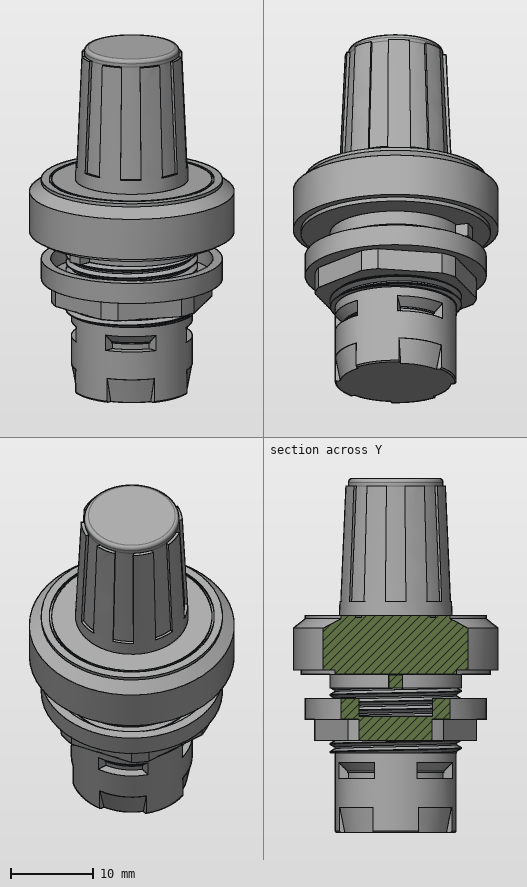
import cadquery as cq
import math

total_height = 43.0
cap_base_z = 42.1
flute_base_z = 28.1
bezel_top_z = 26.35
bezel_lip_z = 25.98
bezel_rim_z = 24.8
bezel_base_z = 19.75
gasket_base_z = 19.23
collar_base_z = 17.55
washer_top_z = 16.3
nut_top_z = 13.75
nut_base_z = 11.2
thread_base_z = 9.68

cap_diameter = 11.5
cap_fillet = 0.47
knob_top_diameter = 12.3
knob_base_diameter = 13.7
flute_count = 8
flute_top_width = 2.25
flute_base_width = 2.5
flute_core_base_diameter = 12.85

bezel_diameter = 24.9
bezel_lip_diameter = 22.0
ring_groove_outer_diameter = 20.05
ring_groove_inner_diameter = 19.5
ring_groove_depth = 0.2
gasket_diameter = 23.0
key_width = 1.7
key_reach = 9.6
key_top_gap = 0.1

thread_diameter = 16.0
thread_root_diameter = 14.8
thread_pitch = 1.0
thread_crest_width = 0.1
ridge_base_width = 0.9
extra_turns = 1.4
thread_overlap = 0.1
washer_diameter = 22.0
washer_bore_diameter = 19.7
washer_bore_depth = 2.15
nut_across_flats = 18.0
nut_corner_diameter = 19.7

body_diameter = 14.7
body_edge_chamfer = 0.17
recess_count = 4
recess_start_angle = 45
recess_cut_clearance = 0.85
window_base_z = 6.6
window_step_z = 7.3
window_slope_z = 7.5
window_top_z = 8.5
window_half_width = 3.05
window_floor_diameter = 12.55
window_step_diameter = 12.8
notch_top_z = 3.05
notch_half_width = 2.9
notch_floor_top_diameter = 14.62
notch_floor_base_diameter = 13.5

body_radius = body_diameter / 2
cut_radius = body_radius + recess_cut_clearance


def disc(diameter, bottom_z, top_z):
    return cq.Workplane("XY").workplane(offset=bottom_z).circle(diameter / 2).extrude(top_z - bottom_z)


def revolve_profile(points):
    """Turn a closed (radius, z) outline about the Z axis."""
    return cq.Workplane("XZ").polyline(points).close().revolve(360, (0, 0, 0), (0, 1, 0))


def cone(base_diameter, top_diameter, bottom_z, top_z):
    outline = [
        (0, bottom_z),
        (base_diameter / 2, bottom_z),
        (top_diameter / 2, top_z),
        (0, top_z),
    ]
    return revolve_profile(outline)


def make_knob():
    """Tapered knob with tapering flutes that run out at the cap."""
    knob = cone(knob_base_diameter, knob_top_diameter, bezel_top_z, cap_base_z)
    flute_outline = [
        (-flute_base_width / 2, flute_base_z),
        (flute_base_width / 2, flute_base_z),
        (flute_top_width / 2, cap_base_z),
        (-flute_top_width / 2, cap_base_z),
    ]
    flute = cq.Workplane("XZ").polyline(flute_outline).close().extrude(knob_base_diameter)
    core = cone(flute_core_base_diameter, cap_diameter, flute_base_z, cap_base_z)
    flute = flute.cut(core)
    for i in range(flute_count):
        knob = knob.cut(flute.rotate((0, 0, 0), (0, 0, 1), i * 360 / flute_count))
    cap = disc(cap_diameter, cap_base_z, total_height).faces(">Z").edges().fillet(cap_fillet)
    return knob.union(cap)


def make_bezel():
    """Bevelled bezel with a ring groove in its top, and the gasket below it."""
    outline = [
        (0, bezel_base_z),
        (bezel_diameter / 2, bezel_base_z),
        (bezel_diameter / 2, bezel_rim_z),
        (bezel_lip_diameter / 2, bezel_lip_z),
        (bezel_lip_diameter / 2, bezel_top_z),
        (0, bezel_top_z),
    ]
    groove_base_z = bezel_top_z - ring_groove_depth
    ring = disc(ring_groove_outer_diameter, groove_base_z, bezel_top_z).cut(
        disc(ring_groove_inner_diameter, groove_base_z, bezel_top_z)
    )
    gasket = disc(gasket_diameter, gasket_base_z, bezel_base_z)
    return revolve_profile(outline).cut(ring).union(gasket)


def make_collar():
    """Plain collar with an anti-rotation key on its -Y side."""
    collar = disc(thread_diameter, collar_base_z, gasket_base_z)
    key_height = gasket_base_z - key_top_gap - collar_base_z
    key = cq.Workplane("XY").box(key_width, key_reach, key_height, centered=(True, False, False))
    return collar.union(key.translate((0, -key_reach, collar_base_z)))


def make_thread():
    """Right-handed helical ridge on a root cylinder, trimmed flat at both ends."""
    root_radius = thread_root_diameter / 2
    inner_radius = root_radius - thread_overlap
    start_z = thread_base_z - extra_turns * thread_pitch
    end_z = collar_base_z + extra_turns * thread_pitch
    ridge_outline = [
        (inner_radius, start_z - ridge_base_width / 2),
        (thread_diameter / 2, start_z - thread_crest_width / 2),
        (thread_diameter / 2, start_z + thread_crest_width / 2),
        (inner_radius, start_z + ridge_base_width / 2),
    ]
    start_point = cq.Vector(0, 0, start_z)
    path = cq.Wire.makeHelix(thread_pitch, end_z - start_z, root_radius, center=start_point)
    ridge = cq.Workplane("XZ").polyline(ridge_outline).close().sweep(cq.Workplane(obj=path), isFrenet=True)
    ridge = ridge.intersect(disc(bezel_diameter, thread_base_z, collar_base_z))
    return disc(thread_root_diameter, thread_base_z, collar_base_z).union(ridge)


def make_nut():
    """Hexagon with rounded corners under a round washer flange with a bore around the thread."""
    hexagon = (
        cq.Workplane("XY")
        .workplane(offset=nut_base_z)
        .polygon(6, nut_across_flats / math.cos(math.pi / 6))
        .extrude(nut_top_z - nut_base_z)
    )
    hexagon = hexagon.intersect(disc(nut_corner_diameter, nut_base_z, nut_top_z))
    bore = disc(washer_bore_diameter, washer_top_z - washer_bore_depth, washer_top_z)
    washer = disc(washer_diameter, nut_top_z, washer_top_z).cut(bore)
    return hexagon.union(washer)


def flared_wedge(half_width, bottom_z, top_z):
    """Wedge facing +X with 45 degree sides, half_width wide where it meets the body surface."""
    tip_x = math.sqrt(body_radius**2 - half_width**2) - half_width
    reach = cut_radius - tip_x
    outline = [(tip_x, 0), (cut_radius, -reach), (cut_radius, reach)]
    return cq.Workplane("XY").workplane(offset=bottom_z).polyline(outline).close().extrude(top_z - bottom_z)


def make_window_cut():
    """Recess with a flat sill, a curved stepped floor and a sloping top."""
    step_radius = window_step_diameter / 2
    slope = (window_top_z - window_slope_z) / (body_radius - step_radius)
    cut_top_z = window_slope_z + slope * (cut_radius - step_radius)
    outline = [
        (window_floor_diameter / 2, window_base_z),
        (cut_radius, window_base_z),
        (cut_radius, cut_top_z),
        (step_radius, window_slope_z),
        (step_radius, window_step_z),
        (window_floor_diameter / 2, window_step_z),
    ]
    return flared_wedge(window_half_width, window_base_z, cut_top_z).intersect(revolve_profile(outline))


def make_notch_cut():
    """Notch open at the base, with a floor that leans inward as it goes down."""
    floor = cone(notch_floor_base_diameter, notch_floor_top_diameter, 0, notch_top_z)
    return flared_wedge(notch_half_width, 0, notch_top_z).cut(floor)


def make_body():
    body = disc(body_diameter, 0, thread_base_z).faces("<Z").edges().chamfer(body_edge_chamfer)
    recess = make_window_cut().union(make_notch_cut())
    for i in range(recess_count):
        angle = recess_start_angle + i * 360 / recess_count
        body = body.cut(recess.rotate((0, 0, 0), (0, 0, 1), angle))
    return body


result = (
    make_body()
    .union(make_thread())
    .union(make_nut())
    .union(make_collar())
    .union(make_bezel())
    .union(make_knob())
)